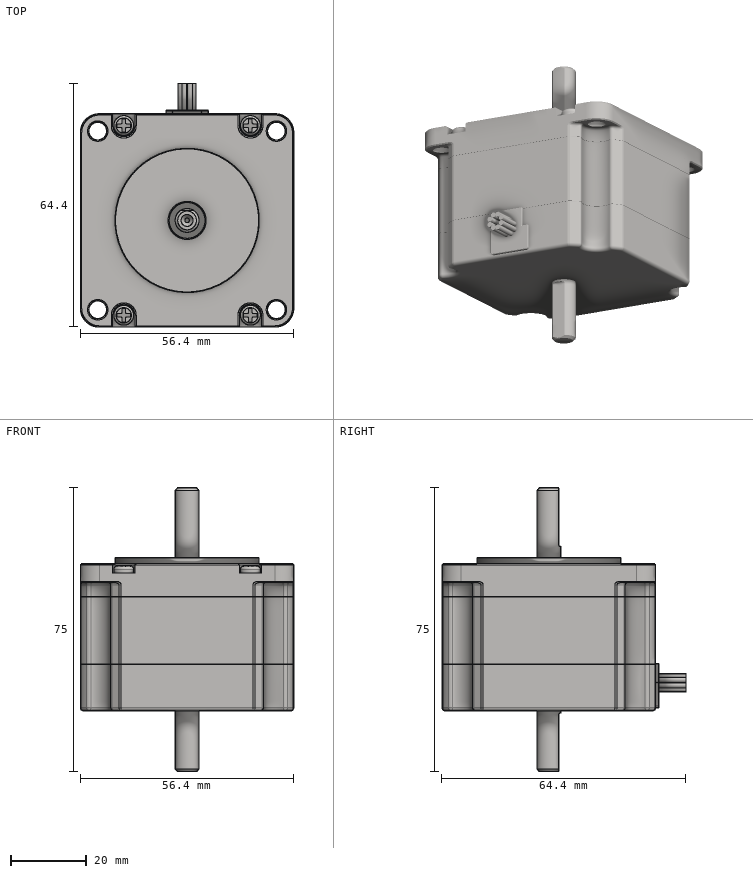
import cadquery as cq
import math

case_width = 56.4
half_width = case_width / 2
case_height = 38.9
corner_radius = 5.0
flange_thickness = 5.0
flange_underside = case_height - flange_thickness
top_chamfer = 0.4
bottom_fillet = 0.9

hole_spacing = 47.2
hole_position = hole_spacing / 2
hole_diameter = 4.65
relief_radius = 4.0
relief_mouth = 17.7
relief_ridge_fillet = 0.9
relief_roof_fillet = 0.6
relief_rim_chamfer = 0.3
relief_outer_margin = 6.0

parting_heights = (12.4, 30.15)
groove_width = 0.15
groove_depth = 0.11

pilot_diameter = 38.1
pilot_height = 1.6
pilot_chamfer = 0.15
pilot_top = case_height + pilot_height
recess_diameter = 9.45
recess_chamfer = 0.3
recess_depth = 1.95

shaft_diameter = 6.3
shaft_radius = shaft_diameter / 2
shaft_length = 75.0
shaft_bottom = -16.05
shaft_top = shaft_bottom + shaft_length
shaft_chamfer = 0.7
flat_offset = 2.6
flat_length = 15.0
flat_runout = shaft_radius - flat_offset
center_rim_radius = 1.6
center_pilot_radius = 0.6
center_pilot_depth = 1.5
center_half_angle = 30

screw_x = 16.7
screw_y = 25.05
pocket_radius = 2.9
pocket_depth = 2.55
pocket_floor = case_height - pocket_depth
head_radius = 2.6
head_side_height = 1.0
head_height = 1.9
head_top_radius = 2.0
cross_length = 3.5
cross_width = 0.9
cross_depth = 0.75
cross_fillet = 0.4

grommet_bottom = 0.8
grommet_shoulder = 7.5
grommet_top = 12.5
grommet_wide = 11.25
grommet_narrow = 7.65
grommet_thickness = 0.9
grommet_fillet = 0.15
grommet_bottom_fillet = 0.6
grommet_edge_chamfer = 0.15
lead_count = 8
lead_radius = 0.7
lead_ring_radius = 1.9
lead_ring_z = 7.4
overall_depth = 64.4
lead_end = overall_depth - half_width

overlap = 0.75


def corner_relief():
    """Cutter for one corner: radial side walls into a round channel about the mounting hole."""
    outer = half_width + relief_outer_margin
    inner = relief_mouth - relief_outer_margin
    height = flange_underside + overlap
    base = cq.Workplane("XY").workplane(offset=-overlap)
    wedge = base.polyline([
        (hole_position, hole_position),
        (relief_mouth, half_width),
        (inner, half_width),
        (inner, outer),
        (outer, outer),
        (outer, inner),
        (half_width, inner),
        (half_width, relief_mouth),
    ]).close().extrude(height)
    channel = base.center(hole_position, hole_position).circle(relief_radius).extrude(height)
    cutter = wedge.union(channel)
    ridges = cq.selectors.BoxSelector(
        (relief_mouth + overlap, relief_mouth + overlap, -height),
        (half_width - overlap, half_width - overlap, height),
    )
    cutter = cutter.edges("|Z").edges(ridges).fillet(relief_ridge_fillet)
    return cutter.faces(">Z").edges().fillet(relief_roof_fillet)


def on_relief_rim(edge):
    """True for edges where a relief opens through the outer sides of the case."""
    tolerance = 0.001
    below_flange = overlap < edge.Center().z < flange_underside + tolerance
    on_sides = all(max(abs(v.X), abs(v.Y)) > half_width - tolerance for v in edge.Vertices())
    return below_flange and on_sides


def parting_groove(case, z):
    """Ring that follows the outline of the case at height z."""
    slab = cq.Workplane("XY").box(case_width, case_width, groove_width).translate((0, 0, z))
    section = case.intersect(slab)
    outline = section.faces("<Z").wires().val()
    core = cq.Workplane("XY").add(outline.offset2D(-groove_depth)).toPending().extrude(groove_width)
    return section.cut(core)


def screw_pocket():
    """Round-ended slot at one screw, open towards +Y."""
    return (
        cq.Workplane("XY", origin=(screw_x, screw_y, pocket_floor))
        .moveTo(-pocket_radius, half_width)
        .lineTo(-pocket_radius, 0)
        .threePointArc((0, -pocket_radius), (pocket_radius, 0))
        .lineTo(pocket_radius, half_width)
        .close()
        .extrude(pocket_depth + overlap)
    )


def at_corners(shape):
    """Repeat a shape from the +X +Y quadrant in all four quadrants."""
    pair = shape.union(shape.mirror("YZ"))
    return pair.union(pair.mirror("XZ"))


def make_case():
    case = cq.Workplane("XY").rect(case_width, case_width).extrude(case_height)
    case = case.edges("|Z").fillet(corner_radius)
    case = case.cut(at_corners(corner_relief()))
    case = case.edges().filter(on_relief_rim).chamfer(relief_rim_chamfer)
    case = case.faces("<Z").edges().fillet(bottom_fillet)
    for z in parting_heights:
        case = case.cut(parting_groove(case, z))
    hole = (
        cq.Workplane("XY", origin=(hole_position, hole_position, 0))
        .circle(hole_diameter / 2)
        .extrude(case_height + overlap)
    )
    case = case.cut(at_corners(hole)).cut(at_corners(screw_pocket()))
    return case.faces(">Z").edges().chamfer(top_chamfer)


def make_pilot():
    pilot = cq.Workplane("XY", origin=(0, 0, case_height)).circle(pilot_diameter / 2).extrude(pilot_height)
    return pilot.faces(">Z").edges().chamfer(pilot_chamfer)


def shaft_recess():
    recess = (
        cq.Workplane("XY", origin=(0, 0, pilot_top - recess_depth))
        .circle(recess_diameter / 2)
        .extrude(recess_depth)
    )
    rim = cq.Workplane("XY", origin=(0, 0, pilot_top - recess_chamfer)).circle(recess_diameter / 2)
    rim = rim.workplane(offset=recess_chamfer).circle(recess_diameter / 2 + recess_chamfer).loft()
    return recess.union(rim)


def make_shaft():
    shaft = cq.Workplane("XY", origin=(0, 0, shaft_bottom)).circle(shaft_radius).extrude(shaft_length)
    shaft = shaft.faces("<Z or >Z").edges().chamfer(shaft_chamfer)
    cut_length = flat_length + flat_runout
    flat = cq.Workplane("XY").box(shaft_diameter, shaft_diameter, cut_length, centered=(True, False, False))
    flat = flat.translate((0, flat_offset, 0))
    upper_flat = flat.edges("<Y and <Z").fillet(flat_runout).translate((0, 0, shaft_top - cut_length))
    lower_flat = flat.edges("<Y and >Z").fillet(flat_runout).translate((0, 0, shaft_bottom))
    shaft = shaft.cut(upper_flat).cut(lower_flat)
    cone_depth = (center_rim_radius - center_pilot_radius) / math.tan(math.radians(center_half_angle))
    center_hole = (
        cq.Workplane("XZ")
        .moveTo(0, shaft_top)
        .lineTo(center_rim_radius, shaft_top)
        .lineTo(center_pilot_radius, shaft_top - cone_depth)
        .lineTo(center_pilot_radius, shaft_top - cone_depth - center_pilot_depth)
        .lineTo(0, shaft_top - cone_depth - center_pilot_depth)
        .close()
        .revolve(360, (0, 0, 0), (0, 1, 0))
    )
    return shaft.cut(center_hole)


def make_screw():
    """Domed head with a cross recess, seated on the pocket floor."""
    head = (
        cq.Workplane("XZ")
        .lineTo(head_radius, 0)
        .lineTo(head_radius, head_side_height)
        .tangentArcPoint((head_top_radius, head_height), relative=False)
        .lineTo(0, head_height)
        .close()
        .revolve(360, (0, 0, 0), (0, 1, 0))
    )
    cross = cq.Workplane("XY", origin=(0, 0, head_height - cross_depth))
    recess = cross.rect(cross_length, cross_width).extrude(cross_depth)
    recess = recess.union(cross.rect(cross_width, cross_length).extrude(cross_depth))
    inner_corners = cq.selectors.BoxSelector(
        (-cross_width, -cross_width, 0), (cross_width, cross_width, head_height)
    )
    head = head.cut(recess.edges("|Z").edges(inner_corners).fillet(cross_fillet))
    return head.translate((screw_x, screw_y, pocket_floor))


def make_grommet():
    wide, narrow = grommet_wide / 2, grommet_narrow / 2
    plate = cq.Workplane("XZ", origin=(0, half_width, 0)).polyline([
        (-wide, grommet_bottom),
        (wide, grommet_bottom),
        (wide, grommet_shoulder),
        (narrow, grommet_shoulder),
        (narrow, grommet_top),
        (-narrow, grommet_top),
        (-narrow, grommet_shoulder),
        (-wide, grommet_shoulder),
    ]).close().extrude(-grommet_thickness)
    plate = plate.faces("<Z").edges("|Y").fillet(grommet_bottom_fillet)
    upper_corners = cq.selectors.BoxSelector(
        (-grommet_wide, 0, grommet_shoulder - overlap), (grommet_wide, case_width, grommet_top + overlap)
    )
    plate = plate.edges("|Y").edges(upper_corners).fillet(grommet_fillet)
    return plate.faces(">Y").edges().chamfer(grommet_edge_chamfer)


def make_leads():
    return (
        cq.Workplane("XZ", origin=(0, half_width, lead_ring_z))
        .polarArray(lead_ring_radius, 180 / lead_count, 360, lead_count)
        .circle(lead_radius)
        .extrude(half_width - lead_end)
    )


result = make_case().union(make_pilot()).cut(shaft_recess()).union(make_shaft())
result = result.union(at_corners(make_screw()))
result = result.union(make_grommet()).union(make_leads())